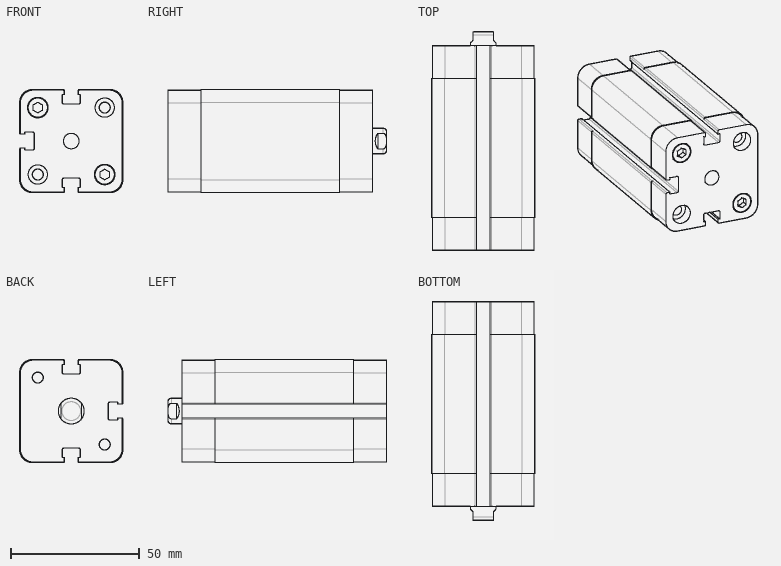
import cadquery as cq
import math

TOTAL_LENGTH = 85.0
BARREL_WIDTH = 40.1
CAP_WIDTH = 39.6
CORNER_RADIUS = 5.0
CAP_LENGTH = 12.8
ROD_LENGTH = 5.4
BODY_LENGTH = TOTAL_LENGTH - ROD_LENGTH
BARREL_LENGTH = BODY_LENGTH - 2 * CAP_LENGTH
FRONT_Y = -TOTAL_LENGTH / 2
BACK_Y = FRONT_Y + BODY_LENGTH

SLOT_OPENING = 5.35
SLOT_WIDTH = 6.9
SLOT_DEPTH = 5.6
SLOT_LIP = 2.0
SLOT_EDGE_RADIUS = 0.5
SLOT_FLOOR_RADIUS = 0.5

HOLE_OFFSET = 13.0
COUNTERBORE_DIAMETER = 7.5
COUNTERBORE_DEPTH = 4.5
THROUGH_DIAMETER = 4.2
SCREW_POCKET_DIAMETER = 8.0
SCREW_HEAD_DIAMETER = 7.5
SCREW_HEAD_HEIGHT = COUNTERBORE_DEPTH
HEX_ACROSS_FLATS = 3.6
HEX_DEPTH = 2.55
CENTRE_HOLE_DIAMETER = 6.0
CENTRE_HOLE_DEPTH = 10.2

ROD_DIAMETER = 10.0
ROD_END_RADIUS = 1.4
ROD_FLATS_WIDTH = 8.0
ROD_FLATS_LENGTH = 3.4


def plane_at(y):
    """Cross-section plane at a given Y: local x is X, local y is Z, negative extrusion runs toward +Y."""
    return cq.Workplane(cq.Plane(origin=(0, y, 0), xDir=(1, 0, 0), normal=(0, -1, 0)))


def slot_cutter(width, y, length):
    """Undercut slot with rounded mouth edges, open at the top side of a square of this width."""
    surface = width / 2
    floor = BARREL_WIDTH / 2 - SLOT_DEPTH
    lip = BARREL_WIDTH / 2 - SLOT_LIP
    half_opening = SLOT_OPENING / 2
    half_slot = SLOT_WIDTH / 2
    mouth = half_opening + SLOT_EDGE_RADIUS
    mid_arc_inset = 1 - math.sqrt(0.5)
    edge_inset = SLOT_EDGE_RADIUS * mid_arc_inset
    floor_inset = SLOT_FLOOR_RADIUS * mid_arc_inset
    half = (
        plane_at(y)
        .moveTo(0, floor)
        .lineTo(half_slot - SLOT_FLOOR_RADIUS, floor)
        .threePointArc((half_slot - floor_inset, floor + floor_inset), (half_slot, floor + SLOT_FLOOR_RADIUS))
        .lineTo(half_slot, lip)
        .lineTo(half_opening, lip)
        .lineTo(half_opening, surface - SLOT_EDGE_RADIUS)
        .threePointArc((half_opening + edge_inset, surface - edge_inset), (mouth, surface))
        .lineTo(0, surface)
        .close()
        .extrude(-length)
    )
    return half.union(half.mirror("YZ"))


def body_section(width, y, length):
    """Rounded square length of the body with its three slots."""
    section = plane_at(y).rect(width, width).extrude(-length)
    section = section.edges("|Y").fillet(CORNER_RADIUS)
    cutter = slot_cutter(width, y, length)
    for angle in (0, -90, 180):
        section = section.cut(cutter.rotate((0, 0, 0), (0, 1, 0), angle))
    return section


def piston_rod():
    """Rod with a rounded end and two flats whose inner ends run out at 45 degrees."""
    radius = ROD_DIAMETER / 2
    end_y = BACK_Y + ROD_LENGTH
    rod = plane_at(BACK_Y).circle(radius).extrude(-ROD_LENGTH)
    rod = rod.faces(">Y").edges().fillet(ROD_END_RADIUS)
    flat = ROD_FLATS_WIDTH / 2
    flat_y = end_y - ROD_FLATS_LENGTH
    runout = ROD_DIAMETER - flat
    flat_cut = (
        cq.Workplane("XY")
        .polyline([(flat, end_y), (flat, flat_y), (flat + runout, flat_y - runout), (flat + runout, end_y)])
        .close()
        .extrude(radius, both=True)
    )
    return rod.cut(flat_cut).cut(flat_cut.mirror("YZ"))


def front_bore(x, z, diameter, depth):
    """Cylinder reaching into the body from the front face."""
    return plane_at(FRONT_Y).center(x, z).circle(diameter / 2).extrude(-depth)


def screw_recess(x, z):
    """Material removed around and inside a flush socket head screw."""
    gap = front_bore(x, z, SCREW_POCKET_DIAMETER, SCREW_HEAD_HEIGHT)
    gap = gap.cut(front_bore(x, z, SCREW_HEAD_DIAMETER, SCREW_HEAD_HEIGHT))
    hex_radius = HEX_ACROSS_FLATS / math.sqrt(3)
    corner_angles = [math.radians(30 + 60 * i) for i in range(6)]
    corners = [(hex_radius * math.cos(a), hex_radius * math.sin(a)) for a in corner_angles]
    socket = plane_at(FRONT_Y).center(x, z).polyline(corners).close().extrude(-HEX_DEPTH)
    return gap.union(socket)


result = body_section(CAP_WIDTH, FRONT_Y, CAP_LENGTH)
result = result.union(body_section(BARREL_WIDTH, FRONT_Y + CAP_LENGTH, BARREL_LENGTH))
result = result.union(body_section(CAP_WIDTH, BACK_Y - CAP_LENGTH, CAP_LENGTH))
result = result.union(piston_rod())

for side in (-1, 1):
    hole_x = side * HOLE_OFFSET
    result = result.cut(front_bore(hole_x, hole_x, COUNTERBORE_DIAMETER, COUNTERBORE_DEPTH))
    result = result.cut(front_bore(hole_x, hole_x, THROUGH_DIAMETER, BODY_LENGTH))
    result = result.cut(screw_recess(hole_x, -hole_x))

result = result.cut(front_bore(0, 0, CENTRE_HOLE_DIAMETER, CENTRE_HOLE_DEPTH))